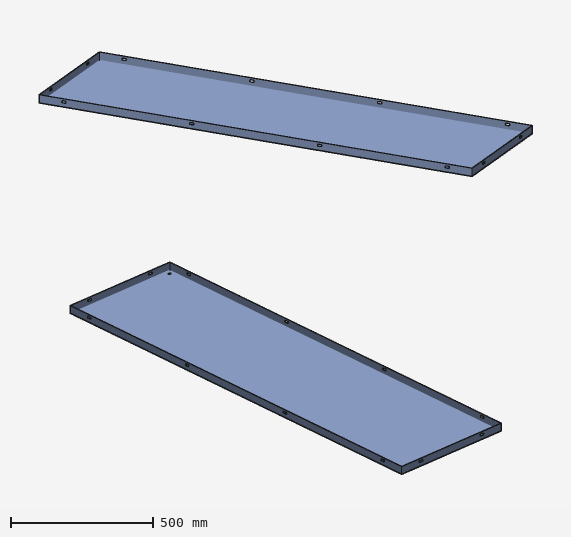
import cadquery as cq

length = 1697.0
width = 484.0
height = 32.0
sheet = 1.5
inner_bend = 0.5
outer_bend = inner_bend + sheet

slot_length = 17.0
slot_height = 7.6
slot_drop = 12.0
long_wall_pitch = 500.0
long_wall_count = 4
short_wall_pitch = 295.0
short_wall_count = 2

floor_slot_length = 10.0
floor_slot_width = 7.0
floor_slot_inset = 20.0


def make_tray():
    """Sheet tray with rounded bends between the floor and the walls."""
    outer = cq.Workplane("XY").box(length, width, height, centered=(True, True, False))
    outer = outer.faces("<Z").edges().fillet(outer_bend)
    cavity = (
        cq.Workplane("XY", origin=(0, 0, sheet))
        .box(length - 2 * sheet, width - 2 * sheet, height, centered=(True, True, False))
        .faces("<Z").edges().fillet(inner_bend)
    )
    return outer.cut(cavity)


def wall_slots(plane, span, pitch, count):
    """A row of slots that passes through both opposite walls."""
    return (
        cq.Workplane(plane, origin=(0, 0, height - slot_drop))
        .rarray(pitch, 17, count, 1)
        .slot2D(slot_length, slot_height)
        .extrude(span, both=True)
    )


def floor_slots():
    """Two slots along Y, one in each +X corner of the floor."""
    slot_x = length / 2 - floor_slot_inset
    slot_pitch = width - 2 * floor_slot_inset
    return (
        cq.Workplane("XY", origin=(slot_x, 0, 0))
        .rarray(17, slot_pitch, 1, 2)
        .slot2D(floor_slot_length, floor_slot_width, 90)
        .extrude(height)
    )


result = (
    make_tray()
    .cut(wall_slots("XZ", width, long_wall_pitch, long_wall_count))
    .cut(wall_slots("YZ", length, short_wall_pitch, short_wall_count))
    .cut(floor_slots())
)